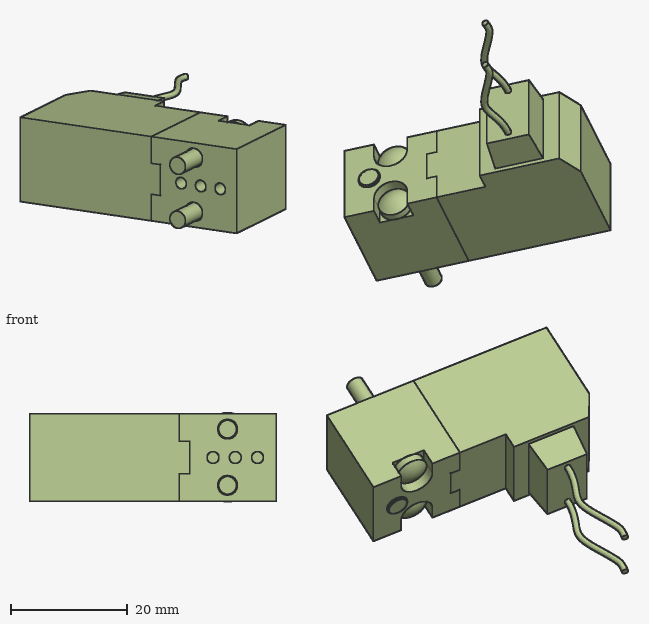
import cadquery as cq
import math

LENGTH = 42.25
HEIGHT = 15.0
DEPTH = 17.6
MID_Z = HEIGHT / 2

JOINT_X = 25.6
TONGUE_LENGTH = 1.8
TONGUE_HEIGHT = 5.5

STEP_X = 16.8
STEP_Y = 20.7
CORNER_X = 2.45
CORNER_Y = 4.5

OUTLET_X = 9.65
OUTLET_WIDTH = 8.65
OUTLET_HEIGHT = 13.4
OUTLET_LENGTH = 6.1
OUTLET_TAPER = 5.0

WIRE_RADIUS = 0.55
WIRE_SPACING = 9.4
WIRE_ROOT_Y = STEP_Y + OUTLET_LENGTH
WIRE_EMBED = 0.5
WIRE_PATH = [
    (9.6, WIRE_ROOT_Y),
    (11.2, 34.75),
    (9.2, 39.55),
    (7.9, 42.3),
    (7.8, 45.0),
]
WIRE_END_TILT = 9.0

SCREW_X = 33.9
SCREW_SPACING = 9.6
SCREW_RISE = 0.05
SCREW_MID_Z = MID_Z + SCREW_RISE
SHANK_RADIUS = 1.55
SHANK_PROJECTION = 5.8
HEAD_RADIUS = 2.85
HEAD_RIM = 1.35
HEAD_DOME = 0.95

SEAT_RADIUS = 3.0
SEAT_DEPTH = 3.25
SEAT_Y = DEPTH - SEAT_DEPTH
SHANK_HOLE_RADIUS = 1.7
PORT_X = 35.2
PORT_PITCH = 3.8
PORT_COUNT = 3
PORT_RADIUS = 1.0
PORT_DEPTH = 4.05
BUTTON_X = 37.7
BUTTON_RADIUS = 1.95
BUTTON_HEIGHT = 0.4
BUTTON_CHAMFER = 0.2


def facing_back(x, y, z):
    """Workplane at (x, y, z) with normal +Y, local x = +X and local y = -Z."""
    return cq.Workplane(cq.Plane((x, y, z), xDir=(1, 0, 0), normal=(0, 1, 0)))


def joint_tongue():
    """Bar on the coil housing that keys into the valve block."""
    return (
        cq.Workplane("XY")
        .box(TONGUE_LENGTH, DEPTH, TONGUE_HEIGHT, centered=(False, False, True))
        .translate((JOINT_X, 0, MID_Z))
    )


def wire(z):
    """Round wire following the curved centreline at height z."""
    embedded_y = WIRE_ROOT_Y - WIRE_EMBED
    root_x = WIRE_PATH[0][0]
    tilt = math.radians(WIRE_END_TILT)
    path = (
        cq.Workplane("XY", origin=(0, 0, z))
        .moveTo(root_x, embedded_y)
        .lineTo(root_x, WIRE_ROOT_Y)
        .spline(
            WIRE_PATH[1:],
            tangents=[(0, 1), (math.sin(tilt), math.cos(tilt))],
            includeCurrent=True,
        )
    )
    return facing_back(root_x, embedded_y, z).circle(WIRE_RADIUS).sweep(path)


def make_coil_housing():
    """Stepped housing with keying tongue, tapered wire outlet and two wires."""
    body = (
        cq.Workplane("XY")
        .polyline([
            (0, 0),
            (JOINT_X, 0),
            (JOINT_X, DEPTH),
            (STEP_X, DEPTH),
            (STEP_X, STEP_Y),
            (CORNER_X, STEP_Y),
            (0, STEP_Y - CORNER_Y),
        ])
        .close()
        .extrude(HEIGHT)
    )
    outlet = (
        facing_back(OUTLET_X, STEP_Y, MID_Z)
        .rect(OUTLET_WIDTH, OUTLET_HEIGHT)
        .extrude(OUTLET_LENGTH, taper=OUTLET_TAPER)
    )
    housing = body.union(joint_tongue()).union(outlet)
    for side in (-1, 1):
        housing = housing.union(wire(MID_Z + side * WIRE_SPACING / 2))
    return housing


def screw_z(side):
    """Height of the upper (side = 1) or lower (side = -1) screw axis."""
    return SCREW_MID_Z + side * SCREW_SPACING / 2


def screw_seat(side):
    """Round-bottomed head seat, open to the back and to the nearer Z face, with its shank hole."""
    z = screw_z(side)
    round_bottom = facing_back(SCREW_X, SEAT_Y, z).circle(SEAT_RADIUS).extrude(SEAT_DEPTH)
    open_side = (
        facing_back(SCREW_X, SEAT_Y, z + side * SEAT_RADIUS)
        .rect(2 * SEAT_RADIUS, 2 * SEAT_RADIUS)
        .extrude(SEAT_DEPTH)
    )
    shank_hole = facing_back(SCREW_X, 0, z).circle(SHANK_HOLE_RADIUS).extrude(DEPTH)
    return round_bottom.union(open_side).union(shank_hole)


def make_valve_block():
    """Block with tongue groove, screw seats, a row of ports and a back button."""
    block = (
        cq.Workplane("XY")
        .box(LENGTH - JOINT_X, DEPTH, HEIGHT, centered=False)
        .translate((JOINT_X, 0, 0))
        .cut(joint_tongue())
    )
    for side in (-1, 1):
        block = block.cut(screw_seat(side))

    ports = (
        facing_back(PORT_X, 0, MID_Z)
        .rarray(PORT_PITCH, 0.5, PORT_COUNT, 1)
        .circle(PORT_RADIUS)
        .extrude(PORT_DEPTH)
    )
    button = (
        facing_back(BUTTON_X, DEPTH, MID_Z)
        .circle(BUTTON_RADIUS)
        .extrude(BUTTON_HEIGHT)
        .faces(">Y")
        .chamfer(BUTTON_CHAMFER)
    )
    return block.cut(ports).union(button)


def make_screw(side):
    """Domed-head screw, revolved about its axis parallel to Y."""
    rim_y = SEAT_Y + HEAD_RIM
    top_y = rim_y + HEAD_DOME
    dome_radius = (HEAD_RADIUS**2 + HEAD_DOME**2) / (2 * HEAD_DOME)
    half_x = HEAD_RADIUS / 2
    half_y = top_y - dome_radius + math.sqrt(dome_radius**2 - half_x**2)
    return (
        cq.Workplane("XY", origin=(SCREW_X, 0, screw_z(side)))
        .moveTo(0, -SHANK_PROJECTION)
        .lineTo(SHANK_RADIUS, -SHANK_PROJECTION)
        .lineTo(SHANK_RADIUS, SEAT_Y)
        .lineTo(HEAD_RADIUS, SEAT_Y)
        .lineTo(HEAD_RADIUS, rim_y)
        .threePointArc((half_x, half_y), (0, top_y))
        .close()
        .revolve(360, (0, 0, 0), (0, 1, 0))
    )


coil_housing = make_coil_housing()
valve_block = make_valve_block()
screws = [make_screw(side) for side in (-1, 1)]

result = cq.Compound.makeCompound([
    coil_housing.solids().val(),
    valve_block.solids().val(),
    *[screw.val() for screw in screws],
])